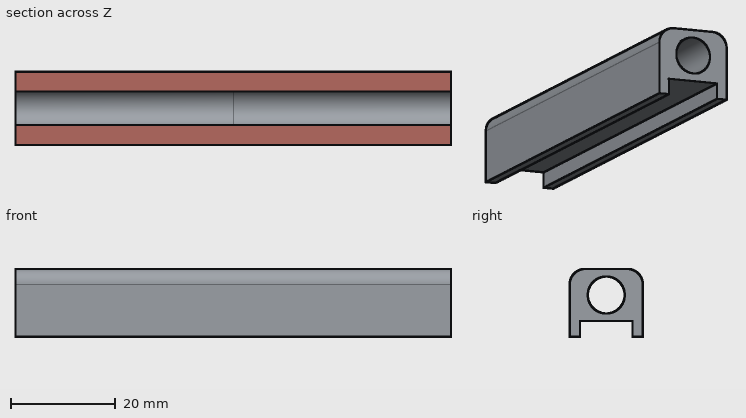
import cadquery as cq

length = 83.0
width = 14.0
height = 13.0

edge_radius = 3.0

wall_thickness = 2.0
channel_depth = 3.0
channel_width = width - 2 * wall_thickness

bore_diameter = 7.0
bore_height = (channel_depth + height) / 2


def rail_body():
    """Bar along X with its base on Z = 0 and its two upper edges rounded."""
    bar = cq.Workplane("XY").box(length, width, height, centered=(True, True, False))
    return bar.edges("|X and >Z").fillet(edge_radius)


def underside_channel():
    """Full-length rectangular cutter for the underside."""
    return cq.Workplane("XY").box(length, channel_width, channel_depth, centered=(True, True, False))


def lengthwise_bore():
    """Cylindrical cutter running the full length of the bar."""
    return (
        cq.Workplane("YZ")
        .center(0, bore_height)
        .circle(bore_diameter / 2)
        .extrude(length / 2, both=True)
    )


result = rail_body().cut(underside_channel()).cut(lengthwise_bore())